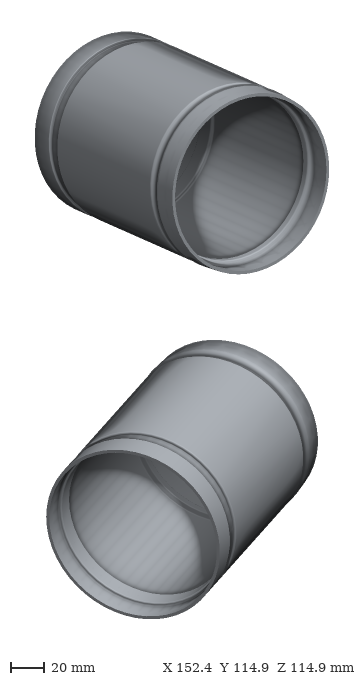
import cadquery as cq
import math

length = 152.4
pipe_diameter = 114.3
wall = 2.0

square_start = 15.88
square_width = 8.5
square_diameter = 110.08
square_bore = 106.09
square_far_edge_radius = 1.1
square_radius = 0.5
square_bore_radius = 1.0

vee_start = 128.8
vee_floor_start = 130.7
vee_floor_end = 133.34
vee_diameter = 108.84
vee_bore = vee_diameter - 2 * wall
vee_flank_radius = 1.25

shoulder_corner = 135.0
shoulder_radius = 4.5
crown_position = 137.7
crown_diameter = 114.86
end_diameter = 113.1


def corner_arc(previous, corner, following, radius):
    """Start, middle and end of the arc of this radius that rounds a corner."""
    point = cq.Vector(*corner)
    back = (cq.Vector(*previous) - point).normalized()
    ahead = (cq.Vector(*following) - point).normalized()
    half_angle = back.getAngle(ahead) / 2
    tangent_length = radius / math.tan(half_angle)
    middle_distance = radius / math.sin(half_angle) - radius
    return (
        point + back * tangent_length,
        point + (back + ahead).normalized() * middle_distance,
        point + ahead * tangent_length,
    )


def solid_of_revolution(corners):
    """Revolve a profile of (x, diameter, rounding radius) corners about X."""
    points = [(x, diameter / 2) for x, diameter, _ in corners]
    profile = cq.Workplane("XY").moveTo(points[0][0], 0).lineTo(*points[0])
    for i in range(1, len(corners) - 1):
        radius = corners[i][2]
        if radius:
            start, middle, end = corner_arc(points[i - 1], points[i], points[i + 1], radius)
            profile = profile.lineTo(start.x, start.y)
            profile = profile.threePointArc((middle.x, middle.y), (end.x, end.y))
        else:
            profile = profile.lineTo(*points[i])
    profile = profile.lineTo(*points[-1]).lineTo(points[-1][0], 0).close()
    return profile.revolve(360, (0, 0, 0), (1, 0, 0))


def outside():
    square_end = square_start + square_width
    return solid_of_revolution([
        (0, pipe_diameter, 0),
        (square_start, pipe_diameter, square_radius),
        (square_start, square_diameter, square_radius),
        (square_end, square_diameter, square_radius),
        (square_end, pipe_diameter, square_far_edge_radius),
        (vee_start, pipe_diameter, vee_flank_radius),
        (vee_floor_start, vee_diameter, vee_flank_radius),
        (vee_floor_end, vee_diameter, vee_flank_radius),
        (shoulder_corner, crown_diameter, shoulder_radius),
        (crown_position, crown_diameter, 0),
        (length, end_diameter, 0),
    ])


def flank_shift(run, rise):
    """Axial shift of a flank's corners when its profile is offset by the wall."""
    return wall * math.tan(math.atan2(rise, run) / 2)


def bore():
    """Inner surface, following the outside one wall thickness further in."""
    bore_diameter = pipe_diameter - 2 * wall
    bore_square_start = square_start - wall
    bore_square_end = square_start + square_width + wall
    vee_depth = (pipe_diameter - vee_diameter) / 2
    shoulder_height = (crown_diameter - vee_diameter) / 2
    vee_shift = flank_shift(vee_floor_start - vee_start, vee_depth)
    shoulder_shift = flank_shift(shoulder_corner - vee_floor_end, shoulder_height)
    return solid_of_revolution([
        (0, bore_diameter, 0),
        (bore_square_start, bore_diameter, square_bore_radius),
        (bore_square_start, square_bore, square_bore_radius),
        (bore_square_end, square_bore, square_bore_radius),
        (bore_square_end, bore_diameter, square_bore_radius),
        (vee_start - vee_shift, bore_diameter, vee_flank_radius),
        (vee_floor_start - vee_shift, vee_bore, vee_flank_radius),
        (vee_floor_end + shoulder_shift, vee_bore, vee_flank_radius),
        (shoulder_corner + shoulder_shift, crown_diameter - 2 * wall, shoulder_radius - wall),
        (crown_position, crown_diameter - 2 * wall, 0),
        (length, end_diameter - 2 * wall, 0),
    ])


result = outside().cut(bore())